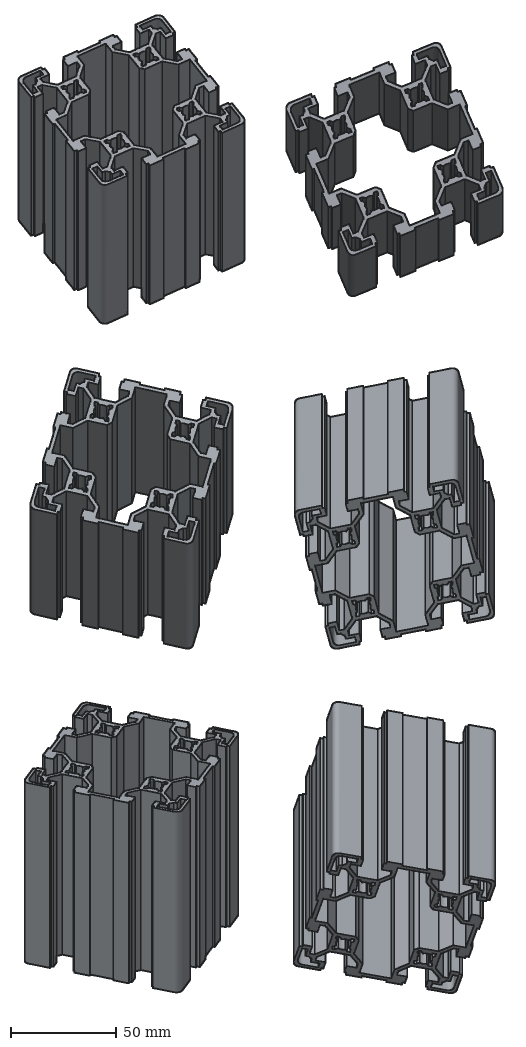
import cadquery as cq
import math

side = 80.0
length = 100.0
half = side / 2
corner_radius = 3.0

core_offset = 20.0
core_half = 6.5
core_chamfer = 2.0

mouth_half = 6.2
mouth_depth = 1.5
neck_half = 5.1
lip_depth = 6.0
chamber_half = 10.1

web_thickness = 2.0
web_reach = web_thickness / math.sqrt(2)

recess_half = 6.0
recess_depth = 1.0
wall_inner = 37.0
cavity_half = 7.8

hollow_near = 1.7
hollow_far = 12.4
hollow_arm = 4.5
hollow_step = 7.9
hollow_step_chamfer = 1.7
hollow_radius = 2.8

channel_radius = 3.6
notch_half = 4.4
notch_width = 2.0


def prism(points):
    """Closed outline extruded over the full length."""
    return cq.Workplane("XY").polyline(points).close().extrude(length)


def turned(body, quarter):
    """Body rotated about the profile axis by a number of quarter turns."""
    return body.rotate((0, 0, 0), (0, 0, 1), 90 * quarter)


def swapped(points):
    """Outline points mirrored in the diagonal, in reverse order."""
    return [(y, x) for x, y in reversed(points)]


def slot():
    """T-slot open to +Y, centred on X = 0."""
    right = [
        (mouth_half, half),
        (mouth_half, half - mouth_depth),
        (neck_half, half - mouth_depth),
        (neck_half, half - lip_depth),
        (chamber_half, half - lip_depth),
        (chamber_half, core_offset + chamber_half + web_reach),
        (core_half - web_reach, core_offset + core_half),
    ]
    left = [(-x, y) for x, y in reversed(right)]
    return prism(right + left)


def recess():
    """Shallow recess in the middle of the +Y side."""
    floor = half - recess_depth
    return prism([
        (-recess_half, floor),
        (recess_half, floor),
        (recess_half, half),
        (-recess_half, half),
    ])


def central_cavity():
    """Central opening, bounded by the side walls, webs and cores."""
    web_line = 2 * core_offset - web_reach
    core_face = core_offset - core_half
    eighth = [
        (cavity_half, wall_inner),
        (cavity_half, web_line - cavity_half),
        (core_face, web_line - core_face),
        (core_face, core_face + core_chamfer),
    ]
    quadrant = eighth + swapped(eighth)
    outline = []
    for _ in range(4):
        outline += quadrant
        quadrant = [(y, -x) for x, y in quadrant]
    return prism(outline)


def corner_hollow():
    """Stepped L-shaped hollow in the +X +Y corner."""
    step_end = hollow_step - hollow_step_chamfer
    arm = [
        (hollow_far, hollow_near),
        (hollow_far, hollow_arm),
        (hollow_step, hollow_arm),
        (hollow_step, step_end),
    ]
    inward = [(hollow_near, hollow_near)] + arm + swapped(arm)
    hollow = prism([(half - x, half - y) for x, y in inward])
    outer_corner = cq.selectors.NearestToPointSelector((half, half, length / 2))
    return hollow.edges("|Z").edges(outer_corner).fillet(hollow_radius)


def screw_channel():
    """Round channel with four notched corners, in the +X +Y core."""
    channel = cq.Workplane("XY").circle(channel_radius).extrude(length)
    square = cq.Workplane("XY").rect(2 * notch_half, 2 * notch_half).extrude(length)
    for angle in (45, 135):
        band = cq.Workplane("XY").rect(4 * notch_half, notch_width).extrude(length)
        band = band.rotate((0, 0, 0), (0, 0, 1), angle)
        channel = channel.union(band.intersect(square))
    return channel.translate((core_offset, core_offset, 0))


profile = cq.Workplane("XY").rect(side, side).extrude(length)
profile = profile.edges("|Z").fillet(corner_radius)
profile = profile.cut(central_cavity())

quarter_cuts = [
    slot().translate((-core_offset, 0, 0)),
    slot().translate((core_offset, 0, 0)),
    recess(),
    corner_hollow(),
    screw_channel(),
]
for quarter in range(4):
    for quarter_cut in quarter_cuts:
        profile = profile.cut(turned(quarter_cut, quarter))

result = profile